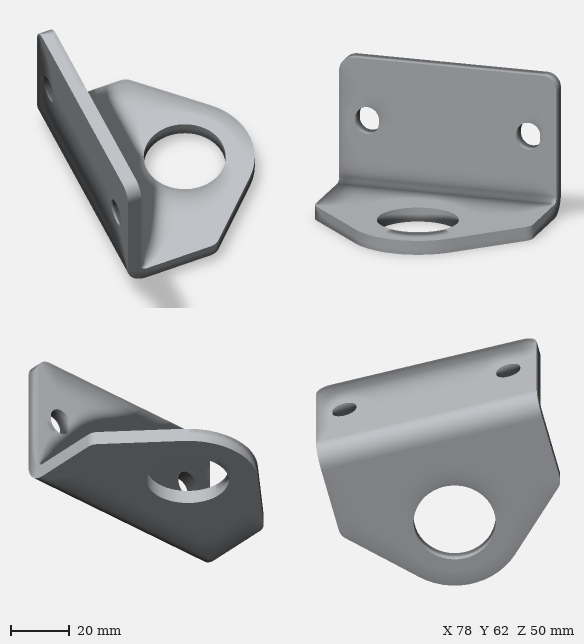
import cadquery as cq
import math

width = 78.0
height = 50.0
thickness = 5.0
inner_bend_radius = 2.0
outer_bend_radius = inner_bend_radius + thickness
corner_radius = 5.0

hole_diameter = 28.0
hole_y = 38.0
nose_radius = 23.95
depth = hole_y + nose_radius

slot_spacing = 57.9
slot_z = 27.9
slot_width = 8.5
slot_length = 9.5

half_width = width / 2


def make_bent_sheet():
    """L-shaped sheet with concentric bend radii, extruded across the width."""
    mid = math.sqrt(0.5)
    bend_center = outer_bend_radius
    outer_mid = bend_center - outer_bend_radius * mid
    inner_mid = bend_center - inner_bend_radius * mid
    return (
        cq.Workplane("YZ", origin=(-half_width, 0, 0))
        .moveTo(depth, 0)
        .lineTo(bend_center, 0)
        .threePointArc((outer_mid, outer_mid), (0, bend_center))
        .lineTo(0, height)
        .lineTo(thickness, height)
        .lineTo(thickness, bend_center)
        .threePointArc((inner_mid, inner_mid), (bend_center, thickness))
        .lineTo(depth, thickness)
        .close()
        .extrude(width)
    )


def make_base_envelope():
    """Full-height prism with the base outline: 45 degree flanks tangent to the nose."""
    tangent_offset = nose_radius * math.sqrt(0.5)
    tangent_y = hole_y + tangent_offset
    shoulder_y = tangent_y + tangent_offset - half_width
    prism = (
        cq.Workplane("XY")
        .moveTo(-half_width, 0)
        .lineTo(half_width, 0)
        .lineTo(half_width, shoulder_y)
        .lineTo(tangent_offset, tangent_y)
        .threePointArc((0, depth), (-tangent_offset, tangent_y))
        .lineTo(-half_width, shoulder_y)
        .close()
        .extrude(height)
    )
    shoulders = cq.selectors.BoxSelector(
        (-width, shoulder_y - 0.8, 0), (width, shoulder_y + 0.8, height)
    )
    return prism.edges("|Z").edges(shoulders).fillet(corner_radius)


def make_slots():
    """Cutters for the two slots through the upright wall."""
    return (
        cq.Workplane("XZ")
        .pushPoints([(-slot_spacing / 2, slot_z), (slot_spacing / 2, slot_z)])
        .slot2D(slot_length, slot_width, 90)
        .extrude(-thickness)
    )


def make_base_hole():
    """Cutter for the large round hole through the base."""
    return cq.Workplane("XY").center(0, hole_y).circle(hole_diameter / 2).extrude(thickness)


bracket = make_bent_sheet()
bracket = bracket.faces(">Z").edges("|Y").fillet(corner_radius)
bracket = bracket.intersect(make_base_envelope())
result = bracket.cut(make_slots()).cut(make_base_hole())